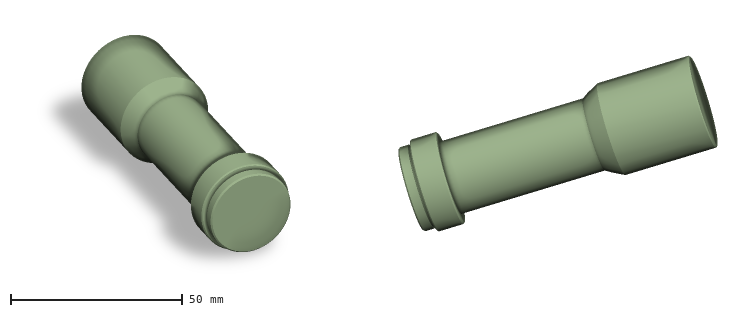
import cadquery as cq
import math

total_length = 89.5
body_diameter = 28.0
edge_chamfer = 0.4

head_length = 28.1
taper_length = 5.4
taper_bulge = 0.2
shaft_diameter = 22.0

collar_start = 77.4
collar_length = 8.1
groove_width = 0.8
groove_diameter = 24.5
ring_diameter = 25.6
ring_chamfer = 0.45

ring_start = collar_start + collar_length + groove_width


def cylinder(start, end, diameter):
    """Solid cylinder along X between two positions."""
    return cq.Workplane("YZ", origin=(start, 0, 0)).circle(diameter / 2).extrude(end - start)


def make_head():
    """Wide cylinder with a chamfered free end."""
    return cylinder(0, head_length, body_diameter).faces("<X").chamfer(edge_chamfer)


def make_taper():
    """Slightly convex taper from the head diameter down to the shaft diameter."""
    head_radius = body_diameter / 2
    shaft_radius = shaft_diameter / 2
    taper_end = head_length + taper_length
    radius_drop = head_radius - shaft_radius
    slant = math.hypot(taper_length, radius_drop)
    middle = (
        head_length + taper_length / 2 + taper_bulge * radius_drop / slant,
        (head_radius + shaft_radius) / 2 + taper_bulge * taper_length / slant,
    )
    profile = (
        cq.Workplane("XY")
        .moveTo(head_length, 0)
        .lineTo(head_length, head_radius)
        .threePointArc(middle, (taper_end, shaft_radius))
        .lineTo(taper_end, 0)
        .close()
    )
    return profile.revolve(360, (0, 0, 0), (1, 0, 0))


def make_collar():
    """Wide collar chamfered on both rims."""
    collar = cylinder(collar_start, collar_start + collar_length, body_diameter)
    return collar.edges("%CIRCLE").chamfer(edge_chamfer)


def make_ring():
    """End ring with a chamfered outer rim."""
    return cylinder(ring_start, total_length, ring_diameter).faces(">X").chamfer(ring_chamfer)


shaft = cylinder(head_length, collar_start + collar_length, shaft_diameter)
groove_floor = cylinder(collar_start, ring_start, groove_diameter)

result = make_head().union(make_taper()).union(shaft)
result = result.union(make_collar()).union(groove_floor).union(make_ring())